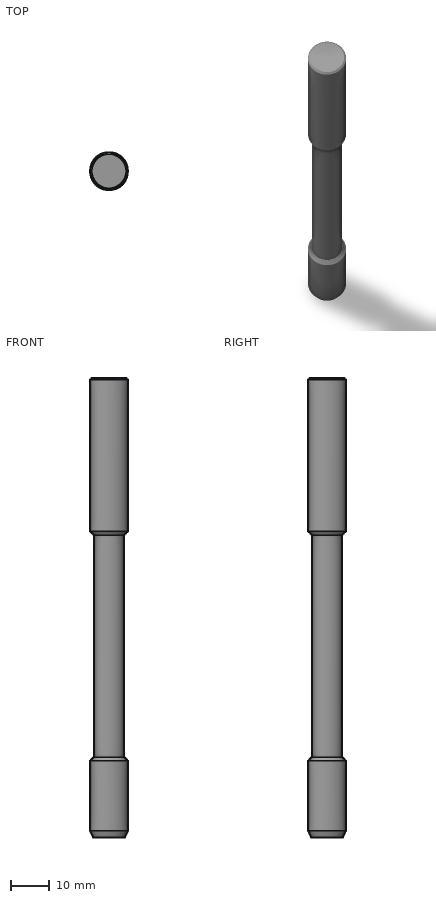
import cadquery as cq

total_length = 120.0
outer_diameter = 10.0
neck_diameter = 7.9

head_length = 41.0
head_top_chamfer = 0.5
shoulder_height = 1.0

tip_length = 21.0
tip_seat_ring = 0.1
nose_height = 1.8
nose_inset = 0.8

outer_radius = outer_diameter / 2
neck_radius = neck_diameter / 2


def revolve_profile(points):
    """Revolve a closed (radius, height) outline about the Z axis."""
    axis_start = (0, 0)
    axis_end = (0, 1)
    return cq.Workplane("XZ").polyline(points).close().revolve(360, axis_start, axis_end)


def make_pin():
    """Thick head with a coned shoulder and a slender neck standing on the tip."""
    head_bottom = total_length - head_length
    return revolve_profile([
        (0, tip_length),
        (neck_radius, tip_length),
        (neck_radius, head_bottom),
        (outer_radius, head_bottom + shoulder_height),
        (outer_radius, total_length - head_top_chamfer),
        (outer_radius - head_top_chamfer, total_length),
        (0, total_length),
    ])


def make_tip():
    """Solid cylindrical tip, chamfered at the neck end and tapered at the nose."""
    return revolve_profile([
        (0, 0),
        (outer_radius - nose_inset, 0),
        (outer_radius, nose_height),
        (outer_radius, tip_length - shoulder_height),
        (neck_radius + tip_seat_ring, tip_length),
        (0, tip_length),
    ])


pin = make_pin()
tip = make_tip()

result = cq.Compound.makeCompound([pin.val(), tip.val()])